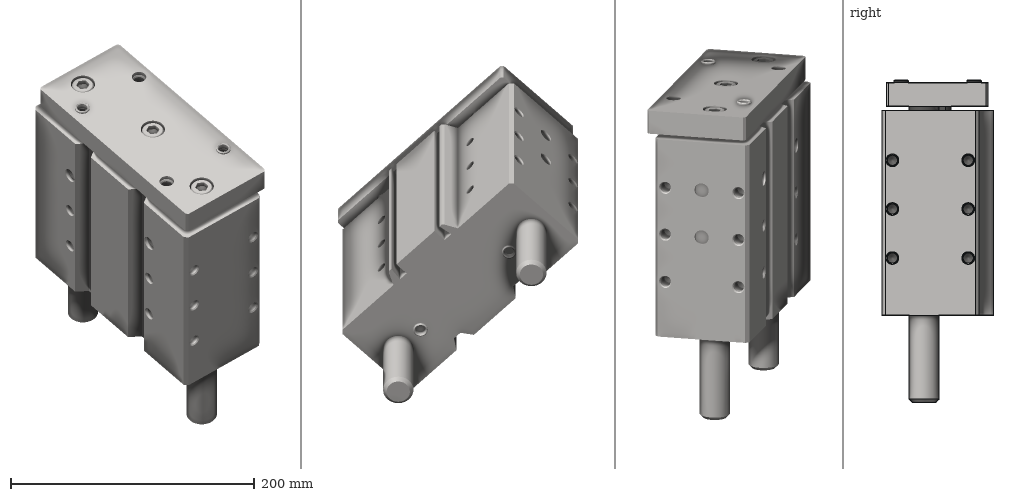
import cadquery as cq
import math


HOUSING_WIDTH = 200.0
HOUSING_HEIGHT = 168.7
TOTAL_DEPTH = 92.0
REAR_FACE_DROP = 12.0
CORNER_CHAMFER = 3.0
FRONT_GROOVE_OUTER = 44.8
FRONT_GROOVE_INNER = 24.5
FRONT_GROOVE_TAPER = 6.4
FRONT_GROOVE_DEPTH = 9.3
LIP_BASE_OUTER = 37.7
LIP_SHOULDER = 32.4
LIP_TIP_OUTER = 30.8
LIP_TIP_INNER = 28.0
LIP_BASE_INNER = 30.0
LIP_SHOULDER_DROP = 1.5
REAR_RAIL_WIDTH = 44.3

HOLE_ROWS = (47.2, 87.5, 127.5)
HOLE_DIAMETER = 8.5
HOLE_CHAMFER = 0.93
FRONT_HOLE_X = 51.7
SIDE_HOLE_YS = (8.8, 71.0)
SIDE_HOLE_DEPTH = 13.3
DRILL_TIP_ANGLE = 118
PORT_DIAMETER = 12.0
PORT_DEPTH = 2.0
PORT_Y = 40.0

PLATE_WIDTH = 193.5
PLATE_DEPTH = 83.8
PLATE_FRONT = 3.7
PLATE_THICKNESS = 19.5
PLATE_GAP = 3.2
PLATE_CHAMFER = 1.9
GUIDE_DIAMETER = 25.0
GUIDE_X = 77.7
GUIDE_Y = 34.8
GUIDE_OVERHANG = 71.5
GUIDE_CHAMFER = 3.0
PISTON_DIAMETER = 22.3
PISTON_FLATS = 18.0
PISTON_Y = 46.0
PISTON_REACH = 119.5
SCREW_SEAT_DIAMETER = 20.0
SCREW_SEAT_DEPTH = 12.7
SCREW_HEAD_DIAMETER = 18.0
SCREW_HEAD_HEIGHT = 12.0
SCREW_HEAD_CHAMFER = 1.0
SCREW_HEX_FLATS = 9.5
SCREW_HEX_DEPTH = 4.0
PLATE_HOLE_X = 55.2
PLATE_HOLE_YS = (16.0, 76.0)

SLEEVE_DIAMETER = 12.0
SLEEVE_BORE = HOLE_DIAMETER
SLEEVE_RECESS = 3.2
TOP_SLEEVE_RISE = 2.0
BOTTOM_SLEEVE_RISE = 1.5
SLEEVE_CHAMFER = 0.8
BOTTOM_SLEEVE_Y = GUIDE_Y

PLATE_BOTTOM = HOUSING_HEIGHT + PLATE_GAP
PLATE_TOP = PLATE_BOTTOM + PLATE_THICKNESS
SIDE_X = HOUSING_WIDTH / 2
REAR_FACE = TOTAL_DEPTH - REAR_FACE_DROP
ROD_AXES = ((-GUIDE_X, GUIDE_Y), (0, PISTON_Y), (GUIDE_X, GUIDE_Y))


def cylinder(diameter, length, start, direction=(0, 0, 1)):
    solid = cq.Solid.makeCylinder(diameter / 2, length, cq.Vector(*start), cq.Vector(*direction))
    return cq.Workplane(solid)


def cone(start_diameter, end_diameter, length, start, direction):
    radii = (start_diameter / 2, end_diameter / 2)
    return cq.Workplane(cq.Solid.makeCone(*radii, length, cq.Vector(*start), cq.Vector(*direction)))


def hole_mouth(start, direction):
    """Countersink at the mouth of a mounting hole."""
    return cone(HOLE_DIAMETER + 2 * HOLE_CHAMFER, HOLE_DIAMETER, HOLE_CHAMFER, start, direction)


def recessed_mouth(face, inward):
    """Recess for a centring sleeve, with a countersink at the hole in its floor."""
    floor = [place + SLEEVE_RECESS * step for place, step in zip(face, inward)]
    recess = cylinder(SLEEVE_DIAMETER, SLEEVE_RECESS, face, inward)
    return recess.union(hole_mouth(floor, inward))


def housing_profile():
    half = [
        (FRONT_GROOVE_INNER, 0),
        (FRONT_GROOVE_INNER + FRONT_GROOVE_TAPER, FRONT_GROOVE_DEPTH),
        (FRONT_GROOVE_OUTER - FRONT_GROOVE_TAPER, FRONT_GROOVE_DEPTH),
        (FRONT_GROOVE_OUTER, 0),
        (SIDE_X - CORNER_CHAMFER, 0),
        (SIDE_X, CORNER_CHAMFER),
        (SIDE_X, REAR_FACE - CORNER_CHAMFER),
        (SIDE_X - CORNER_CHAMFER, REAR_FACE),
        (LIP_BASE_OUTER, REAR_FACE),
        (LIP_SHOULDER, TOTAL_DEPTH - LIP_SHOULDER_DROP),
        (LIP_TIP_OUTER, TOTAL_DEPTH),
        (LIP_TIP_INNER, TOTAL_DEPTH),
        (LIP_BASE_INNER, REAR_FACE),
        (REAR_RAIL_WIDTH / 2, REAR_FACE),
        (REAR_RAIL_WIDTH / 2, TOTAL_DEPTH),
    ]
    mirrored = [(-x, y) for x, y in reversed(half)]
    return cq.Workplane("XY").polyline(half + mirrored).close().extrude(HOUSING_HEIGHT)


def front_holes():
    """Through holes from front to rear; the top pair is recessed for centring."""
    *lower_rows, top_row = HOLE_ROWS
    cuts = []
    for x in (-FRONT_HOLE_X, FRONT_HOLE_X):
        for z in HOLE_ROWS:
            cuts.append(cylinder(HOLE_DIAMETER, TOTAL_DEPTH, (x, 0, z), (0, 1, 0)))
        for z in lower_rows:
            cuts.append(hole_mouth((x, 0, z), (0, 1, 0)))
        cuts.append(recessed_mouth((x, 0, top_row), (0, 1, 0)))
    return cuts


def side_holes():
    """Blind drilled holes with a conical end in both side faces."""
    tip_length = HOLE_DIAMETER / 2 / math.tan(math.radians(DRILL_TIP_ANGLE / 2))
    cuts = []
    for side in (-1, 1):
        inward = (-side, 0, 0)
        for y in SIDE_HOLE_YS:
            for z in HOLE_ROWS:
                mouth = (side * SIDE_X, y, z)
                end = (side * (SIDE_X - SIDE_HOLE_DEPTH), y, z)
                cuts.append(cylinder(HOLE_DIAMETER, SIDE_HOLE_DEPTH, mouth, inward))
                cuts.append(hole_mouth(mouth, inward))
                cuts.append(cone(HOLE_DIAMETER, 0, tip_length, end, inward))
    return cuts


def side_ports():
    """Shallow round recesses level with the two upper hole rows."""
    return [cylinder(PORT_DIAMETER, PORT_DEPTH, (-SIDE_X, PORT_Y, z), (1, 0, 0)) for z in HOLE_ROWS[1:]]


def make_guide_rod(x):
    """Round rod through the housing, ending against the underside of the plate."""
    length = GUIDE_OVERHANG + PLATE_BOTTOM
    rod = cylinder(GUIDE_DIAMETER, length, (x, GUIDE_Y, -GUIDE_OVERHANG))
    return rod.faces("<Z").chamfer(GUIDE_CHAMFER)


def piston_rod():
    """Round rod with two wrench flats along its length."""
    length = PISTON_REACH + PLATE_GAP
    rod = cylinder(PISTON_DIAMETER, length, (0, PISTON_Y, HOUSING_HEIGHT - PISTON_REACH))
    flats = (
        cq.Workplane("XY", origin=(0, PISTON_Y, HOUSING_HEIGHT - PISTON_REACH))
        .rect(PISTON_FLATS, PISTON_DIAMETER)
        .extrude(length)
    )
    return rod.intersect(flats)


def screw_head(x, y):
    """Hexagon socket head standing on the floor of its seat."""
    floor = PLATE_TOP - SCREW_SEAT_DEPTH
    hex_corners = SCREW_HEX_FLATS / math.cos(math.pi / 6)
    return (
        cylinder(SCREW_HEAD_DIAMETER, SCREW_HEAD_HEIGHT, (x, y, floor))
        .faces(">Z").chamfer(SCREW_HEAD_CHAMFER)
        .faces(">Z").workplane(origin=(x, y, 0))
        .polygon(6, hex_corners)
        .cutBlind(-SCREW_HEX_DEPTH)
    )


def make_plate():
    plate = (
        cq.Workplane("XY", origin=(0, PLATE_FRONT + PLATE_DEPTH / 2, PLATE_BOTTOM))
        .rect(PLATE_WIDTH, PLATE_DEPTH)
        .extrude(PLATE_THICKNESS)
        .edges("|Z").chamfer(PLATE_CHAMFER)
    )
    for x, y in ROD_AXES:
        plate = plate.cut(cylinder(SCREW_SEAT_DIAMETER, SCREW_SEAT_DEPTH, (x, y, PLATE_TOP), (0, 0, -1)))
    for x in (-PLATE_HOLE_X, PLATE_HOLE_X):
        for y in PLATE_HOLE_YS:
            plate = plate.cut(cylinder(HOLE_DIAMETER, PLATE_THICKNESS, (x, y, PLATE_BOTTOM)))
            plate = plate.cut(recessed_mouth((x, y, PLATE_TOP), (0, 0, -1)))
    return plate


def make_yoke():
    """Plate with its screw heads and the piston rod as one solid."""
    yoke = make_plate().union(piston_rod())
    for x, y in ROD_AXES:
        yoke = yoke.union(screw_head(x, y))
    return yoke


def sleeve(start, direction, rise):
    """Centring ring filling its recess and standing out of the face by the rise."""
    length = SLEEVE_RECESS + rise
    outer_face = ">Z" if direction[2] > 0 else "<Z"
    ring = cylinder(SLEEVE_DIAMETER, length, start, direction)
    ring = ring.cut(cylinder(SLEEVE_BORE, length, start, direction))
    return ring.faces(outer_face).chamfer(SLEEVE_CHAMFER)


def make_top_sleeves():
    front, rear = PLATE_HOLE_YS
    floor = PLATE_TOP - SLEEVE_RECESS
    places = ((-PLATE_HOLE_X, front), (PLATE_HOLE_X, rear))
    return [sleeve((x, y, floor), (0, 0, 1), TOP_SLEEVE_RISE) for x, y in places]


def make_bottom_sleeves():
    places = [(x, BOTTOM_SLEEVE_Y, SLEEVE_RECESS) for x in (-FRONT_HOLE_X, FRONT_HOLE_X)]
    return [sleeve(place, (0, 0, -1), BOTTOM_SLEEVE_RISE) for place in places]


def make_housing():
    housing = housing_profile()
    cuts = front_holes() + side_holes() + side_ports()
    for x in (-GUIDE_X, GUIDE_X):
        cuts.append(cylinder(GUIDE_DIAMETER, HOUSING_HEIGHT, (x, GUIDE_Y, 0)))
    for x in (-FRONT_HOLE_X, FRONT_HOLE_X):
        cuts.append(cylinder(SLEEVE_DIAMETER, SLEEVE_RECESS, (x, BOTTOM_SLEEVE_Y, 0)))
    cuts.append(piston_rod())
    for cut in cuts:
        housing = housing.cut(cut)
    return housing


housing = make_housing()
yoke = make_yoke()
guide_rods = [make_guide_rod(x) for x in (-GUIDE_X, GUIDE_X)]
sleeves = make_top_sleeves() + make_bottom_sleeves()
bodies = [housing, yoke, *guide_rods, *sleeves]
result = cq.Compound.makeCompound([body.val() for body in bodies])